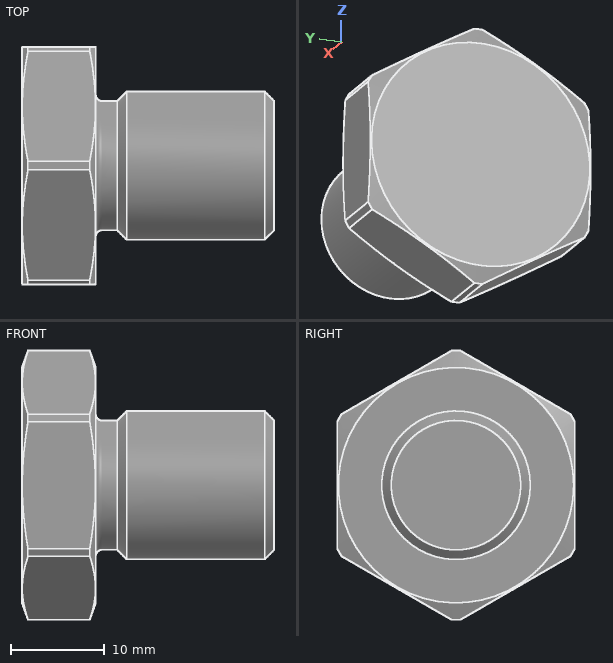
import cadquery as cq
import math

ORIGIN = (0, 0, 0)
X_DIRECTION = (1, 0, 0)

HEX_SIDES = 6
across_flats = 25.4
across_corners = 28.8
head_length = 7.92
bearing_diameter = 25.15
corner_chamfer_length = 0.66

shank_length = 19.05
overall_length = head_length + shank_length
shank_diameter = 15.88
neck_diameter = 13.84
neck_length = 2.27
neck_end = head_length + neck_length
neck_fillet = 0.66
shank_chamfer = (shank_diameter - neck_diameter) / 2


def hexagonal_bar(flat_distance, turn):
    """Hexagonal bar of head length along +X; at zero turn two corners lie on the Y axis."""
    corner_distance = flat_distance / math.cos(math.pi / HEX_SIDES)
    return (
        cq.Workplane("YZ")
        .polygon(HEX_SIDES, corner_distance)
        .extrude(head_length)
        .rotate(ORIGIN, X_DIRECTION, turn)
    )


def make_head():
    """Hexagon with two corners on the Z axis, its corners flattened and bevelled at both ends."""
    hexagon = hexagonal_bar(across_flats, 90)
    corner_flats = hexagonal_bar(across_corners, 0)
    bearing_radius = bearing_diameter / 2
    corner_radius = across_corners / 2
    envelope = (
        cq.Workplane("XY")
        .moveTo(0, 0)
        .lineTo(0, bearing_radius)
        .lineTo(corner_chamfer_length, corner_radius)
        .lineTo(corner_chamfer_length, across_corners)
        .lineTo(head_length - corner_chamfer_length, across_corners)
        .lineTo(head_length - corner_chamfer_length, corner_radius)
        .lineTo(head_length, bearing_radius)
        .lineTo(head_length, 0)
        .close()
        .revolve(360, ORIGIN, X_DIRECTION)
    )
    return hexagon.intersect(corner_flats).intersect(envelope)


def make_shank():
    """Necked shank with a fillet under the head and a chamfered free end."""
    neck_radius = neck_diameter / 2
    shank_radius = shank_diameter / 2
    fillet_drop = neck_fillet * math.sqrt(0.5)
    fillet_middle = (
        head_length + neck_fillet - fillet_drop,
        neck_radius + neck_fillet - fillet_drop,
    )
    return (
        cq.Workplane("XY")
        .moveTo(head_length, 0)
        .lineTo(head_length, neck_radius + neck_fillet)
        .threePointArc(fillet_middle, (head_length + neck_fillet, neck_radius))
        .lineTo(neck_end, neck_radius)
        .lineTo(neck_end + shank_chamfer, shank_radius)
        .lineTo(overall_length - shank_chamfer, shank_radius)
        .lineTo(overall_length, shank_radius - shank_chamfer)
        .lineTo(overall_length, 0)
        .close()
        .revolve(360, ORIGIN, X_DIRECTION)
    )


result = make_head().union(make_shank())